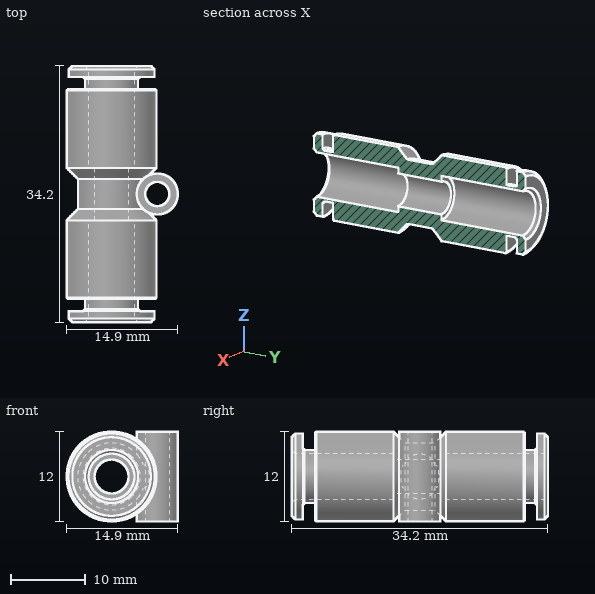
import cadquery as cq

overall_length = 34.2
half_length = overall_length / 2

body_radius = 6.0
body_end_recess = 3.1
body_end_y = half_length - body_end_recess
body_edge_chamfer = 0.2
waist_radius = 4.5
waist_half_length = 2.0
cone_end_y = waist_half_length + (body_radius - waist_radius)

flange_radius = 5.75
flange_thickness = 1.5
flange_chamfer = 0.5
flange_inner_y = half_length - flange_thickness
neck_radius = 3.55
neck_flare = 0.25

through_radius = 2.25
socket_radius = 3.05
socket_end_y = cone_end_y
socket_mouth_chamfer = 0.5

sleeve_radius = 2.75
sleeve_hole_radius = 1.6
sleeve_x = 6.1
sleeve_height = 2 * body_radius


def revolved_about_y(points):
    """Solid of revolution about Y from (radius, y) profile points."""
    return cq.Workplane("XY").polyline(points).close().revolve(360, (0, 0, 0), (0, 1, 0))


def make_outside():
    upper_half = [
        (waist_radius, waist_half_length),
        (body_radius, cone_end_y),
        (body_radius, body_end_y - body_edge_chamfer),
        (body_radius - body_edge_chamfer, body_end_y),
        (neck_radius, body_end_y),
        (neck_radius, flange_inner_y - neck_flare),
        (neck_radius + neck_flare, flange_inner_y),
        (flange_radius, flange_inner_y),
        (flange_radius, half_length - flange_chamfer),
        (flange_radius - flange_chamfer, half_length),
        (0, half_length),
    ]
    lower_half = [(radius, -y) for radius, y in reversed(upper_half)]
    return revolved_about_y(lower_half + upper_half)


def make_bore():
    upper_half = [
        (through_radius, socket_end_y),
        (socket_radius, socket_end_y),
        (socket_radius, half_length - socket_mouth_chamfer),
        (socket_radius + socket_mouth_chamfer, half_length),
        (0, half_length),
    ]
    lower_half = [(radius, -y) for radius, y in reversed(upper_half)]
    return revolved_about_y(lower_half + upper_half)


def make_sleeve_cylinder(radius):
    base = cq.Workplane("XY", origin=(sleeve_x, 0, -sleeve_height / 2))
    return base.circle(radius).extrude(sleeve_height)


connector = make_outside().union(make_sleeve_cylinder(sleeve_radius))
connector = connector.cut(make_sleeve_cylinder(sleeve_hole_radius))
result = connector.cut(make_bore())